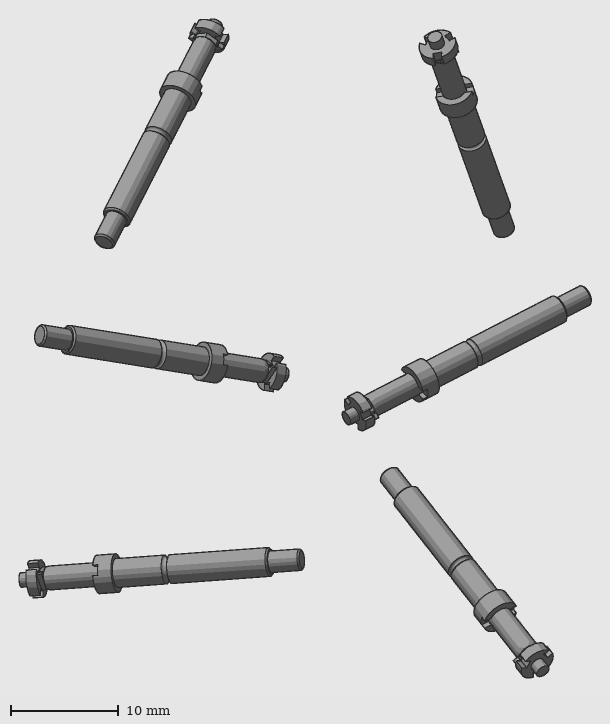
import cadquery as cq
import math

LENGTH = 27.3

TAIL_LENGTH = 3.0
GROOVE_Y = 13.0
COLLAR_START = 18.0
COLLAR_LENGTH = 1.8
TIP_LENGTH = 1.0
HEAD_THICKNESS = 1.0
LUG_THICKNESS = 0.5
NECK_LENGTH = 0.4

COLLAR_END = COLLAR_START + COLLAR_LENGTH
HEAD_END = LENGTH - TIP_LENGTH
HEAD_START = HEAD_END - HEAD_THICKNESS
LUG_START = HEAD_START - LUG_THICKNESS
NECK_START = LUG_START - NECK_LENGTH

TAIL_RADIUS = 1.0
BODY_DIAMETER = 2.7
BODY_RADIUS = BODY_DIAMETER / 2
COLLAR_RADIUS = 1.8
SHAFT_RADIUS = 1.12
NECK_RADIUS = 1.05
HEAD_RADIUS = 1.75
TIP_RADIUS = 0.68

TAIL_CHAMFER = 0.16
BODY_CHAMFER = 0.16
GROOVE_RADIUS = 0.26

COLLAR_SLOT_WIDTH = 1.0
COLLAR_SLOT_DEPTH = 0.5

HEAD_SLOT_WIDTH = 0.82
HEAD_SLOT_FLOOR = 1.1
HEAD_SLOT_ANGLES = (30, 150, 270)

RHOMBUS_HALF_WIDTH = 1.7
RHOMBUS_HALF_HEIGHT = 1.1
NOTCH_OUTER_RADIUS = 1.25
NOTCH_FLOOR = 0.15


def disc(radius, start, end):
    """Cylinder about the Y axis between two stations."""
    return cq.Workplane("XZ", origin=(0, start, 0)).circle(radius).extrude(start - end)


def turned_pin():
    """Tail, grooved body, collar, shaft and rounded neck, up to the lugs."""
    profile = (
        cq.Workplane("XY")
        .moveTo(0, 0)
        .lineTo(TAIL_RADIUS - TAIL_CHAMFER, 0)
        .lineTo(TAIL_RADIUS, TAIL_CHAMFER)
        .lineTo(TAIL_RADIUS, TAIL_LENGTH)
        .lineTo(BODY_RADIUS - BODY_CHAMFER, TAIL_LENGTH)
        .lineTo(BODY_RADIUS, TAIL_LENGTH + BODY_CHAMFER)
        .lineTo(BODY_RADIUS, GROOVE_Y - GROOVE_RADIUS)
        .threePointArc(
            (BODY_RADIUS - GROOVE_RADIUS, GROOVE_Y),
            (BODY_RADIUS, GROOVE_Y + GROOVE_RADIUS),
        )
        .lineTo(BODY_RADIUS, COLLAR_START)
        .lineTo(COLLAR_RADIUS, COLLAR_START)
        .lineTo(COLLAR_RADIUS, COLLAR_END)
        .lineTo(SHAFT_RADIUS, COLLAR_END)
        .lineTo(SHAFT_RADIUS, NECK_START)
        .tangentArcPoint((NECK_RADIUS, LUG_START), relative=False)
        .lineTo(0, LUG_START)
        .close()
    )
    return profile.revolve(360, (0, 0, 0), (0, 1, 0))


def collar_slots():
    """Cutter for both collar slots; it leaves the shaft between them whole."""
    bar = cq.Workplane("XY").box(2 * COLLAR_RADIUS, COLLAR_SLOT_DEPTH, COLLAR_SLOT_WIDTH)
    bar = bar.translate((0, COLLAR_END - COLLAR_SLOT_DEPTH / 2, 0))
    return bar.cut(disc(SHAFT_RADIUS, COLLAR_START, COLLAR_END))


def slotted_head():
    """Head disc with a flat-floored radial slot at each slot angle."""
    head = disc(HEAD_RADIUS, HEAD_START, HEAD_END)
    slot_middle = HEAD_SLOT_FLOOR + HEAD_RADIUS / 2
    for angle in HEAD_SLOT_ANGLES:
        direction = math.radians(angle)
        slot = (
            cq.Workplane("XY")
            .box(HEAD_RADIUS, HEAD_THICKNESS, HEAD_SLOT_WIDTH)
            .rotate((0, 0, 0), (0, 1, 0), -angle)
            .translate((
                slot_middle * math.cos(direction),
                (HEAD_START + HEAD_END) / 2,
                slot_middle * math.sin(direction),
            ))
        )
        head = head.cut(slot)
    return head


def core_and_lugs():
    """Rhombus-shaped layer under the head with both curved notches cut from above."""
    rhombus = (
        cq.Workplane("XZ", origin=(0, LUG_START, 0))
        .polyline([
            (RHOMBUS_HALF_WIDTH, 0),
            (0, RHOMBUS_HALF_HEIGHT),
            (-RHOMBUS_HALF_WIDTH, 0),
            (0, -RHOMBUS_HALF_HEIGHT),
        ])
        .close()
        .extrude(-LUG_THICKNESS)
    )
    ring = disc(NOTCH_OUTER_RADIUS, LUG_START, HEAD_START).cut(
        disc(SHAFT_RADIUS, LUG_START, HEAD_START)
    )
    below_floor = (
        cq.Workplane("XY", origin=(0, (LUG_START + HEAD_START) / 2, NOTCH_FLOOR))
        .rect(2 * NOTCH_OUTER_RADIUS, LUG_THICKNESS)
        .extrude(-NOTCH_FLOOR - NOTCH_OUTER_RADIUS)
    )
    return rhombus.cut(ring.cut(below_floor))


result = (
    turned_pin()
    .cut(collar_slots())
    .union(core_and_lugs())
    .union(slotted_head())
    .union(disc(TIP_RADIUS, HEAD_END, LENGTH))
)